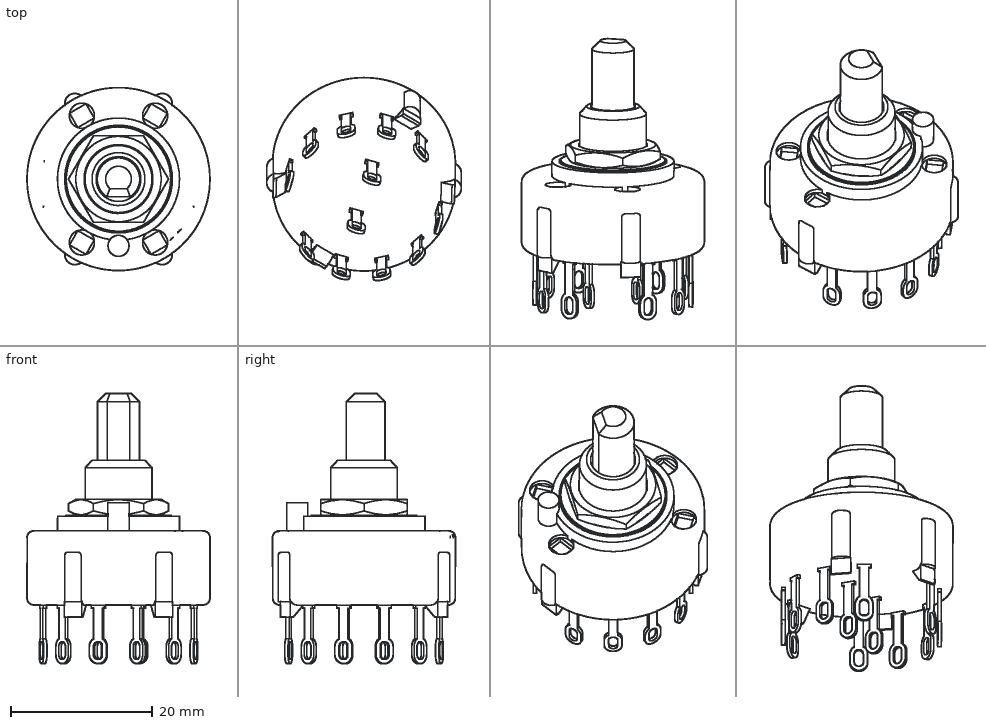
import cadquery as cq
import math


TOTAL_HEIGHT = 38.3
BODY_BOTTOM = 8.3
BODY_TOP = 18.85
COLLAR_TOP = 20.9
NUT_BOTTOM = 21.05
NUT_TOP = 23.3
BUSHING_TOP = 28.85
PIN_TOP = 22.83

BODY_DIAMETER = 25.95
BODY_EDGE_RADIUS = 1.0
COLLAR_DIAMETER = 17.3

WASHER_DIAMETER = 15.0
WASHER_RECESS_DIAMETER = 15.3
WASHER_RECESS_DEPTH = 0.2
WASHER_EDGE_CHAMFER = 0.1

NUT_ACROSS_FLATS = 12.3
NUT_BORE_DIAMETER = 9.75
NUT_FACE_DIAMETER = 12.1
NUT_CHAMFER_ANGLE = 30.0
NUT_SIDES = 6

BUSHING_DIAMETER = 9.5
BUSHING_BORE_DIAMETER = 6.35
BUSHING_CHAMFER_WIDTH = 1.0
BUSHING_CHAMFER_HEIGHT = 1.07
SHAFT_DIAMETER = 6.0
SHAFT_FLAT_DISTANCE = 2.53
SHAFT_TIP_CHAMFER = 1.2
SHAFT_TIP_ANGLE = 45.0

PIN_DIAMETER = 3.0
PIN_OFFSET = 9.45

RECESS_DIAMETER = 3.55
RECESS_PITCH_RADIUS = 10.38
RECESS_DEPTH = 0.6
POCKET_WIDTH = 2.7
POCKET_LENGTH = math.sqrt(RECESS_DIAMETER**2 - POCKET_WIDTH**2)
POCKET_DEPTH = 0.85

LEGS = ((60.0, 1), (120.0, -1), (240.0, 1), (300.0, -1))
HOOK_WIDTH = 2.87
RIB_DIAMETER = HOOK_WIDTH
RIB_PITCH_RADIUS = 12.37
RIB_TOP = 15.8
RIB_EDGE_RADIUS = 0.45
HOOK_TOP = 8.8
HOOK_BOTTOM = 6.6
HOOK_OUTER_RADIUS = 12.85
HOOK_TIP_DEPTH = 0.42
HOOK_SLOPE_ANGLE = 41.0
HOOK_SIDE_SKEW = 11.4

TERMINALS_PER_POLE = 5
TERMINAL_SPACING = 30.0
POLE_CENTER_ANGLES = (15.0, 195.0)
COMMON_TERMINAL_ANGLES = (45.0, 225.0)
TERMINAL_PITCH_RADIUS = 11.05
COMMON_TERMINAL_RADIUS = 3.83
TERMINAL_THICKNESS = 0.5
STEM_WIDTH = 1.3
SHOULDER_WIDTH = 1.95
SHOULDER_BOTTOM = 7.9
EYE_WIDTH = 2.53
EYE_HOLE_WIDTH = 1.3
EYE_STRAIGHT = 1.2

OVERLAP = 0.4


def cylinder(diameter, bottom, top):
    return cq.Workplane("XY").workplane(offset=bottom).circle(diameter / 2).extrude(top - bottom)


def make_body():
    body = cylinder(BODY_DIAMETER, BODY_BOTTOM, BODY_TOP).edges().fillet(BODY_EDGE_RADIUS)
    collar = cylinder(COLLAR_DIAMETER, BODY_TOP - OVERLAP, COLLAR_TOP)
    recess_floor = COLLAR_TOP - WASHER_RECESS_DEPTH
    recess = cylinder(WASHER_RECESS_DIAMETER, recess_floor, COLLAR_TOP)
    washer = cylinder(WASHER_DIAMETER, recess_floor, NUT_BOTTOM).faces(">Z").chamfer(WASHER_EDGE_CHAMFER)
    return body.union(collar).cut(recess).union(washer)


def make_nut():
    corner_radius = NUT_ACROSS_FLATS / 2 / math.cos(math.pi / NUT_SIDES)
    face_radius = NUT_FACE_DIAMETER / 2
    corner_drop = (corner_radius - face_radius) * math.tan(math.radians(NUT_CHAMFER_ANGLE))
    hexagon = (
        cq.Workplane("XY")
        .workplane(offset=NUT_BOTTOM)
        .polygon(NUT_SIDES, 2 * corner_radius)
        .extrude(NUT_TOP - NUT_BOTTOM)
    )
    chamfered_disc = (
        cq.Workplane("XZ")
        .moveTo(0, NUT_BOTTOM)
        .lineTo(face_radius, NUT_BOTTOM)
        .lineTo(corner_radius, NUT_BOTTOM + corner_drop)
        .lineTo(corner_radius, NUT_TOP - corner_drop)
        .lineTo(face_radius, NUT_TOP)
        .lineTo(0, NUT_TOP)
        .close()
        .revolve(360, (0, 0, 0), (0, 1, 0))
    )
    return hexagon.intersect(chamfered_disc).cut(cylinder(NUT_BORE_DIAMETER, NUT_BOTTOM, NUT_TOP))


def make_bushing():
    bushing = (
        cylinder(BUSHING_DIAMETER, COLLAR_TOP, BUSHING_TOP)
        .faces(">Z")
        .chamfer(BUSHING_CHAMFER_HEIGHT, BUSHING_CHAMFER_WIDTH)
    )
    return bushing.cut(cylinder(BUSHING_BORE_DIAMETER, NUT_BOTTOM, BUSHING_TOP))


def make_shaft():
    radius = SHAFT_DIAMETER / 2
    flat_half_width = math.sqrt(radius**2 - SHAFT_FLAT_DISTANCE**2)
    tip_bottom = TOTAL_HEIGHT - SHAFT_TIP_CHAMFER

    def flatted_circle(level):
        return (
            cq.Workplane("XY")
            .workplane(offset=level)
            .moveTo(flat_half_width, -SHAFT_FLAT_DISTANCE)
            .threePointArc((0, radius), (-flat_half_width, -SHAFT_FLAT_DISTANCE))
            .close()
        )

    shank = flatted_circle(COLLAR_TOP).extrude(tip_bottom - COLLAR_TOP)
    tip = flatted_circle(tip_bottom).extrude(SHAFT_TIP_CHAMFER, taper=SHAFT_TIP_ANGLE)
    return shank.union(tip)


def make_pin():
    return cylinder(PIN_DIAMETER, BODY_TOP - OVERLAP, PIN_TOP).translate((0, -PIN_OFFSET, 0))


def make_top_recess():
    """Recess and pocket on the +X axis, with the collar left standing."""
    recess_floor = BODY_TOP - RECESS_DEPTH
    recess = cylinder(RECESS_DIAMETER, recess_floor, BODY_TOP)
    pocket = (
        cq.Workplane("XY")
        .workplane(offset=recess_floor - POCKET_DEPTH)
        .rect(POCKET_LENGTH, POCKET_WIDTH)
        .extrude(POCKET_DEPTH)
    )
    collar_root = cylinder(COLLAR_DIAMETER, BODY_BOTTOM, BODY_TOP)
    return recess.union(pocket).translate((RECESS_PITCH_RADIUS, 0, 0)).cut(collar_root)


def make_leg(lean):
    """Snap leg on the +X axis; going inwards, its hook leans towards -Y (lean = 1) or +Y (lean = -1)."""
    rib = cylinder(RIB_DIAMETER, HOOK_TOP, RIB_TOP).faces(">Z").edges().fillet(RIB_EDGE_RADIUS)
    rib = rib.translate((RIB_PITCH_RADIUS, 0, 0))

    hook_height = HOOK_TOP - HOOK_BOTTOM
    root_depth = HOOK_TIP_DEPTH + hook_height * math.tan(math.radians(HOOK_SLOPE_ANGLE))
    root_shift = lean * root_depth * math.tan(math.radians(HOOK_SIDE_SKEW))
    inner_radius = HOOK_OUTER_RADIUS - root_depth
    wedge = (
        cq.Workplane("XZ")
        .moveTo(HOOK_OUTER_RADIUS, HOOK_TOP)
        .lineTo(HOOK_OUTER_RADIUS, HOOK_BOTTOM)
        .lineTo(HOOK_OUTER_RADIUS - HOOK_TIP_DEPTH, HOOK_BOTTOM)
        .lineTo(inner_radius, HOOK_TOP)
        .close()
        .extrude(HOOK_WIDTH, both=True)
    )
    skewed_plan = (
        cq.Workplane("XY")
        .workplane(offset=HOOK_BOTTOM)
        .moveTo(HOOK_OUTER_RADIUS, -HOOK_WIDTH / 2)
        .lineTo(HOOK_OUTER_RADIUS, HOOK_WIDTH / 2)
        .lineTo(inner_radius, HOOK_WIDTH / 2 - root_shift)
        .lineTo(inner_radius, -HOOK_WIDTH / 2 - root_shift)
        .close()
        .extrude(hook_height)
    )
    return rib.union(wedge.intersect(skewed_plan))


def make_terminal(pitch_radius):
    """Flat terminal crossing the +X axis, its broad faces looking along X."""
    eye_center = (EYE_WIDTH + EYE_STRAIGHT) / 2
    blade_top = BODY_BOTTOM + OVERLAP

    def strip(width, bottom):
        height = blade_top - bottom
        outline = cq.Workplane("YZ").center(0, bottom + height / 2).rect(width, height)
        return outline.extrude(TERMINAL_THICKNESS)

    def obround(width):
        outline = cq.Workplane("YZ").center(0, eye_center).slot2D(width + EYE_STRAIGHT, width, 90)
        return outline.extrude(TERMINAL_THICKNESS)

    terminal = strip(STEM_WIDTH, eye_center).union(strip(SHOULDER_WIDTH, SHOULDER_BOTTOM))
    terminal = terminal.union(obround(EYE_WIDTH)).cut(obround(EYE_HOLE_WIDTH))
    return terminal.translate((pitch_radius - TERMINAL_THICKNESS / 2, 0, 0))


def turned(shape, angle):
    return shape.rotate((0, 0, 0), (0, 0, 1), angle)


result = make_body()

top_recess = make_top_recess()
for leg_angle, lean in LEGS:
    result = result.cut(turned(top_recess, leg_angle))
    result = result.union(turned(make_leg(lean), leg_angle))

for part in (make_nut(), make_bushing(), make_shaft(), make_pin()):
    result = result.union(part)

outer_terminal = make_terminal(TERMINAL_PITCH_RADIUS)
for pole_angle in POLE_CENTER_ANGLES:
    for index in range(TERMINALS_PER_POLE):
        offset_from_center = index - (TERMINALS_PER_POLE - 1) / 2
        terminal_angle = pole_angle + offset_from_center * TERMINAL_SPACING
        result = result.union(turned(outer_terminal, terminal_angle))

common_terminal = make_terminal(COMMON_TERMINAL_RADIUS)
for common_angle in COMMON_TERMINAL_ANGLES:
    result = result.union(turned(common_terminal, common_angle))